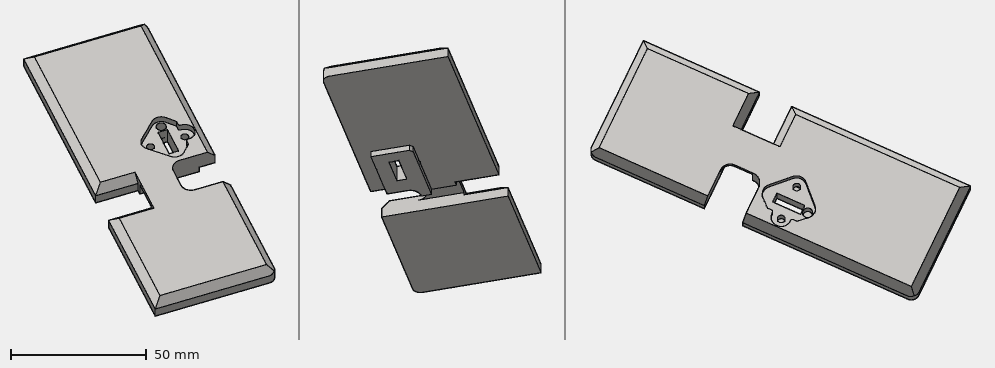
import cadquery as cq

LENGTH = 133.2
WIDTH = 48.3
THICKNESS = 7.0
EDGE_CHAMFER = 3.0
CORNER_RADIUS = 3.0

NECK_THICKNESS = 2.0
RIGHT_HALF_X = 85.9
NECK_START_X = 74.7
FRONT_SLOT_X = 72.9
FRONT_SLOT_DEPTH = 16.8
REAR_SLOT_X = 70.3
REAR_SLOT_DEPTH = 18.1
REAR_SLOT_RADIUS = 4.0

BLOCK_HEIGHT = 2.4
BLOCK_X = 47.3
BLOCK_Y = 26.2
BLOCK_REAR_GAP = 6.3
BLOCK_CORNER_CHAMFER = 1.2

POCKET_X = 58.0
POCKET_Y = 34.6
POCKET_DEPTH = 2.7
POCKET_HALF_DIAGONAL = 12.1
POCKET_REAR_Y = 40.2
POCKET_REAR_WIDTH = 12.0
POCKET_RADIUS = 3.7
LOBE_BLEND_RADIUS = 0.7

REAR_HOLE_Y = 41.2
FRONT_HOLE_Y = 27.6
SCREW_HOLE_RADIUS = 1.5
WIDE_HOLE_X = 50.1
WIDE_HOLE_Y = 34.9
WIDE_HOLE_RADIUS = 1.9
WINDOW_LENGTH = 11.3
WINDOW_WIDTH = 3.7


def box_between(x0, x1, y0, y1, z0, z1):
    """Box given by its limits along each axis."""
    return cq.Workplane("XY").box(x1 - x0, y1 - y0, z1 - z0, centered=False).translate((x0, y0, z0))


def make_plate():
    """Plate with a chamfered top rim; the rear corner rounding cuts through the chamfers."""
    block = box_between(0, LENGTH, 0, WIDTH, 0, THICKNESS)
    rounded = block.edges("|Z and >Y").fillet(CORNER_RADIUS)
    return block.faces(">Z").chamfer(EDGE_CHAMFER).intersect(rounded)


def make_block():
    """Block under the plate with one bevelled corner."""
    block = box_between(BLOCK_X, NECK_START_X, BLOCK_Y, WIDTH - BLOCK_REAR_GAP, -BLOCK_HEIGHT, 0)
    return block.edges("|Z and <X and <Y").chamfer(BLOCK_CORNER_CHAMFER)


def make_front_slot():
    """Straight-ended slot whose two sides flare out at the top."""
    flare_z = THICKNESS - EDGE_CHAMFER
    profile = [
        (FRONT_SLOT_X, -BLOCK_HEIGHT),
        (RIGHT_HALF_X, -BLOCK_HEIGHT),
        (RIGHT_HALF_X, flare_z),
        (RIGHT_HALF_X + EDGE_CHAMFER, THICKNESS),
        (FRONT_SLOT_X - EDGE_CHAMFER, THICKNESS),
        (FRONT_SLOT_X, flare_z),
    ]
    return cq.Workplane("XZ").polyline(profile).close().extrude(-FRONT_SLOT_DEPTH)


def make_rear_slot():
    """Slot with two rounded inner corners, cutting the plate and the block."""
    slot_end_y = WIDTH - REAR_SLOT_DEPTH
    slot = box_between(REAR_SLOT_X, RIGHT_HALF_X, slot_end_y, WIDTH, -BLOCK_HEIGHT, THICKNESS)
    return slot.edges("|Z and <Y").fillet(REAR_SLOT_RADIUS)


def make_neck_relief():
    """Space below the neck, across the full width."""
    return box_between(NECK_START_X, RIGHT_HALF_X, 0, WIDTH, -BLOCK_HEIGHT, THICKNESS - NECK_THICKNESS)


def make_pocket():
    """Blind pocket whose lobe is blended into the flat rear end."""
    floor = cq.Workplane("XY", origin=(POCKET_X, POCKET_Y, THICKNESS - POCKET_DEPTH))
    reach = POCKET_HALF_DIAGONAL
    rear = POCKET_REAR_Y - POCKET_Y
    half_width = POCKET_REAR_WIDTH / 2
    outline = [(0, -reach), (reach, 0), (half_width, rear), (-half_width, rear), (-reach, 0)]
    pocket = floor.polyline(outline).close().extrude(POCKET_DEPTH)
    pocket = pocket.edges("|Z and (<X or >X or <Y)").fillet(POCKET_RADIUS)

    lobe_y = REAR_HOLE_Y - POCKET_Y
    lobe = floor.center(0, lobe_y).circle(POCKET_RADIUS).extrude(POCKET_DEPTH)
    lobe_stem = floor.center(0, lobe_y / 2).rect(2 * POCKET_RADIUS, lobe_y).extrude(POCKET_DEPTH)
    pocket = pocket.union(lobe).union(lobe_stem)
    for side in (-1, 1):
        root = (POCKET_X + side * POCKET_RADIUS, POCKET_REAR_Y, THICKNESS - POCKET_DEPTH / 2)
        root_edge = cq.selectors.NearestToPointSelector(root)
        pocket = pocket.edges("|Z").edges(root_edge).fillet(LOBE_BLEND_RADIUS)
    return pocket


def make_floor_openings():
    """Window right through, and round holes that stop at the top of the block."""
    window = (
        cq.Workplane("XY", origin=(POCKET_X, POCKET_Y, -BLOCK_HEIGHT))
        .rect(WINDOW_LENGTH, WINDOW_WIDTH)
        .extrude(BLOCK_HEIGHT + THICKNESS - POCKET_DEPTH)
    )
    holes = (
        cq.Workplane("XY")
        .pushPoints([(POCKET_X, REAR_HOLE_Y), (POCKET_X, FRONT_HOLE_Y)])
        .circle(SCREW_HOLE_RADIUS)
        .extrude(THICKNESS - POCKET_DEPTH)
    )
    wide_hole = (
        cq.Workplane("XY")
        .center(WIDE_HOLE_X, WIDE_HOLE_Y)
        .circle(WIDE_HOLE_RADIUS)
        .extrude(THICKNESS - POCKET_DEPTH)
    )
    return window.union(holes).union(wide_hole)


plate = make_plate().cut(make_pocket())
plate = plate.union(make_block())
plate = plate.cut(make_front_slot()).cut(make_rear_slot()).cut(make_neck_relief())
result = plate.cut(make_floor_openings())